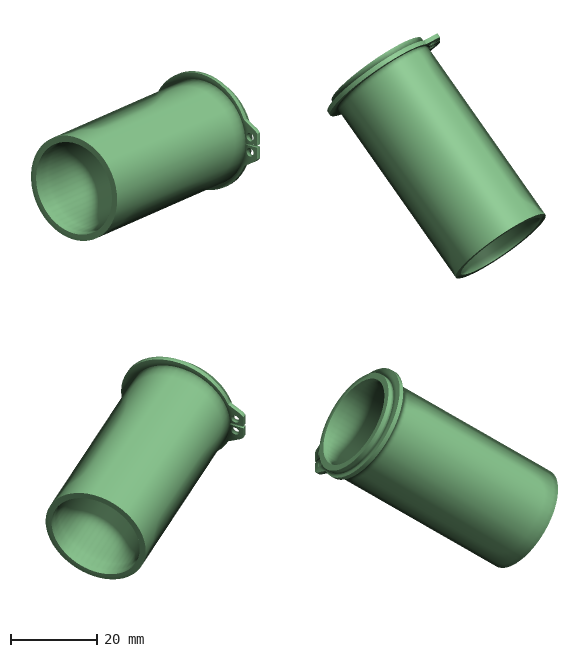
import cadquery as cq
import math

tube_length = 50.8
tube_radius = 12.7
bore_radius = 11.2

ring_diameter = 28.4
ring_radius = ring_diameter / 2
ring_far_x = -14.95
ring_centre_x = ring_far_x + ring_radius
ring_thickness = 1.05
ring_end_offset = 1.5

lug_end_x = 16.1
lug_hole_x = 14.0
lug_hole_z = 1.9
lug_hole_radius = 1.0
lug_tip_radius = 2.45
lug_slope = math.radians(30)
lug_root_radius = 1.5
lug_gap = 0.5

tube_end_y = tube_length / 2
ring_back_y = tube_end_y - ring_end_offset


def plane_at(y):
    """XZ plane at position y along the tube, extruding toward -Y."""
    return cq.Workplane("XZ", origin=(0, y, 0))


def make_tube():
    return plane_at(tube_end_y).circle(tube_radius).circle(bore_radius).extrude(tube_length)


def lug_outline():
    """Upper lug: root fillet off the ring, sloped flank, rounded tip and flat end."""
    normal_x = math.sin(lug_slope)
    normal_z = math.cos(lug_slope)

    flank_end = (lug_hole_x + lug_tip_radius * normal_x, lug_hole_z + lug_tip_radius * normal_z)
    tip_end_angle = math.acos((lug_end_x - lug_hole_x) / lug_tip_radius)
    tip_mid_angle = (math.pi / 2 - lug_slope + tip_end_angle) / 2
    tip_mid = (
        lug_hole_x + lug_tip_radius * math.cos(tip_mid_angle),
        lug_hole_z + lug_tip_radius * math.sin(tip_mid_angle),
    )
    tip_end = (lug_end_x, lug_hole_z + lug_tip_radius * math.sin(tip_end_angle))

    centre_reach = ring_radius + lug_root_radius
    flank_offset = (
        (lug_hole_x - ring_centre_x) * normal_x
        + lug_hole_z * normal_z
        + lug_tip_radius
        + lug_root_radius
    )
    root_angle = math.pi / 2 - lug_slope + math.acos(flank_offset / centre_reach)
    root_x = ring_centre_x + centre_reach * math.cos(root_angle)
    root_z = centre_reach * math.sin(root_angle)

    root_start = (
        ring_centre_x + ring_radius * math.cos(root_angle),
        ring_radius * math.sin(root_angle),
    )
    root_end = (root_x - lug_root_radius * normal_x, root_z - lug_root_radius * normal_z)
    root_mid_angle = math.pi + (root_angle + math.pi / 2 - lug_slope) / 2
    root_mid = (
        root_x + lug_root_radius * math.cos(root_mid_angle),
        root_z + lug_root_radius * math.sin(root_mid_angle),
    )

    return (
        plane_at(ring_back_y)
        .moveTo(ring_centre_x, 0)
        .lineTo(*root_start)
        .threePointArc(root_mid, root_end)
        .lineTo(*flank_end)
        .threePointArc(tip_mid, tip_end)
        .lineTo(lug_end_x, 0)
        .close()
    )


def make_ring():
    disc = plane_at(ring_back_y).center(ring_centre_x, 0).circle(ring_radius).extrude(ring_thickness)
    lug = lug_outline().extrude(ring_thickness)
    body = disc.union(lug).union(lug.mirror("XY"))

    bore = plane_at(ring_back_y).circle(tube_radius).extrude(ring_thickness)
    gap = plane_at(ring_back_y).center(lug_end_x / 2, 0).rect(lug_end_x, lug_gap).extrude(ring_thickness)
    hole_places = [(lug_hole_x, lug_hole_z), (lug_hole_x, -lug_hole_z)]
    holes = plane_at(ring_back_y).pushPoints(hole_places).circle(lug_hole_radius).extrude(ring_thickness)
    return body.cut(bore).cut(gap).cut(holes)


tube = make_tube()
retaining_ring = make_ring()

result = cq.Compound.makeCompound([tube.val(), *retaining_ring.solids().vals()])